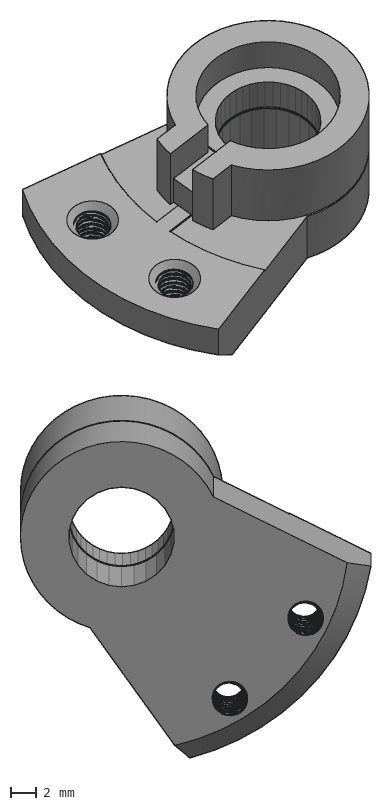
import cadquery as cq
import math

total_height = 11.0
plate_top = 5.05
gap_height = 0.17
gap_floor = plate_top - gap_height
counterbore_floor = 8.0
slot_drop = 0.17
slot_floor = counterbore_floor - slot_drop

ring_radius = 8.0
counterbore_radius = 5.7
bore_radius = 4.15
upper_bore_sides = 42
lower_bore_sides = 26

spacer_clearance = 0.03
spacer_inner_radius = bore_radius + spacer_clearance
spacer_outer_radius = 5.98
tongue_width = 1.42

ear_tip_radius = 9.95
ears_width = 6.15
slot_width = 2.43
slot_start = 5.22
slot_block_end = 9.5

total_length = 27.93
arm_width = 21.5
arm_radius = total_length - ring_radius
side_taper = 14.1
gap_edge_reach = 11.95
gap_edge_radius = 19.13
edge_chamfer = 2.0

hole_spacing = 9.0
hole_offset = 15.3
thread_minor_radius = 1.28
thread_major_radius = 1.5
thread_pitch = 0.5
thread_mouth = 0.42
thread_root = 0.08
thread_start_angle = -165.0
flank_points = 12
countersink_radius = 2.05


def cylinder(radius, bottom, top):
    return cq.Workplane("XY").workplane(offset=bottom).circle(radius).extrude(top - bottom)


def block(width, y_near, y_far, bottom, top):
    """Box centred on X that runs from y = -y_near to y = -y_far."""
    return (
        cq.Workplane("XY")
        .workplane(offset=bottom)
        .center(0, -(y_near + y_far) / 2)
        .rect(width, y_far - y_near)
        .extrude(top - bottom)
    )


def polygon_bore(sides, bottom, top):
    return (
        cq.Workplane("XY")
        .workplane(offset=bottom)
        .polygon(sides, 2 * bore_radius)
        .extrude(top - bottom)
    )


def make_plate():
    """Round end plus tapered arm with an arc tip, bevelled underneath along the arc."""
    corner_x = arm_width / 2
    corner_y = -math.sqrt(arm_radius**2 - corner_x**2)
    inner_x = corner_x + corner_y * math.tan(math.radians(side_taper))
    arm = (
        cq.Workplane("XY")
        .moveTo(-inner_x, 0)
        .lineTo(-corner_x, corner_y)
        .threePointArc((0, -arm_radius), (corner_x, corner_y))
        .lineTo(inner_x, 0)
        .close()
        .extrude(plate_top)
    )
    bevel = (
        cq.Workplane("XZ")
        .moveTo(0, 0)
        .lineTo(arm_radius - edge_chamfer, 0)
        .lineTo(arm_radius, edge_chamfer)
        .lineTo(arm_radius, plate_top)
        .lineTo(0, plate_top)
        .close()
        .revolve(360, (0, 0, 0), (0, 1, 0))
    )
    return cylinder(ring_radius, 0, plate_top).union(arm.intersect(bevel))


def make_gap():
    """Thin recess under the ring and ears, leaving the spacer and the tongue standing."""
    edge_centre = gap_edge_radius - gap_edge_reach
    recess = cylinder(gap_edge_radius, gap_floor, plate_top).translate((0, edge_centre, 0))
    spacer = cylinder(spacer_outer_radius, gap_floor, plate_top).cut(
        cylinder(spacer_inner_radius, gap_floor, plate_top)
    )
    tongue = block(tongue_width, spacer_inner_radius, gap_edge_reach, gap_floor, plate_top)
    return recess.cut(spacer).cut(tongue)


def make_clamp():
    """Ring with two ears, its counterbore, and the slot between the ears."""
    ring = cylinder(ring_radius, plate_top, total_height)
    ears = block(ears_width, 0, ear_tip_radius, plate_top, total_height)
    ears = ears.intersect(cylinder(ear_tip_radius, plate_top, total_height))
    pocket = cylinder(counterbore_radius, counterbore_floor, total_height)
    slot = block(slot_width, slot_start, ear_tip_radius, slot_floor, total_height)
    slot_step = block(2 * counterbore_radius, slot_start, counterbore_radius, slot_floor, total_height)
    slot_step = slot_step.intersect(cylinder(counterbore_radius, slot_floor, total_height))
    slot_mouth = block(slot_width, slot_block_end, ear_tip_radius, plate_top, total_height)
    return ring.union(ears).cut(pocket).cut(slot).cut(slot_step).cut(slot_mouth)


def polar_point(radius, angle):
    return (radius * math.cos(angle), radius * math.sin(angle))


def thread_section():
    """Level cut through the thread: root arc and crest arc joined by two spiral flanks."""
    root_angle = math.pi * thread_root / thread_pitch
    mouth_angle = math.pi * thread_mouth / thread_pitch

    def rising_flank(t):
        radius = thread_major_radius + t * (thread_minor_radius - thread_major_radius)
        return polar_point(radius, root_angle + t * (mouth_angle - root_angle))

    def falling_flank(t):
        x, y = rising_flank(1 - t)
        return (x, -y)

    return (
        cq.Workplane("XY")
        .moveTo(*polar_point(thread_major_radius, -root_angle))
        .threePointArc((thread_major_radius, 0), polar_point(thread_major_radius, root_angle))
        .parametricCurve(rising_flank, N=flank_points, makeWire=False)
        .threePointArc((-thread_minor_radius, 0), polar_point(thread_minor_radius, -mouth_angle))
        .parametricCurve(falling_flank, N=flank_points, makeWire=False)
        .wire()
    )


def make_thread():
    """Right-hand thread through the full plate thickness."""
    turn = 360 * plate_top / thread_pitch
    thread = thread_section().twistExtrude(plate_top, turn)
    return thread.rotate((0, 0, 0), (0, 0, 1), thread_start_angle)


def make_countersink():
    """45 degree cone that opens at the top of the plate."""
    return (
        cq.Workplane("XZ")
        .moveTo(0, plate_top - countersink_radius)
        .lineTo(countersink_radius, plate_top)
        .lineTo(0, plate_top)
        .close()
        .revolve(360, (0, 0, 0), (0, 1, 0))
    )


result = make_plate().cut(make_gap()).union(make_clamp())
result = result.cut(polygon_bore(lower_bore_sides, 0, plate_top))
result = result.cut(polygon_bore(upper_bore_sides, plate_top, counterbore_floor))
thread = make_thread()
countersink = make_countersink()
for side in (-1, 1):
    hole_place = (side * hole_spacing / 2, -hole_offset, 0)
    result = result.cut(thread.translate(hole_place)).cut(countersink.translate(hole_place))